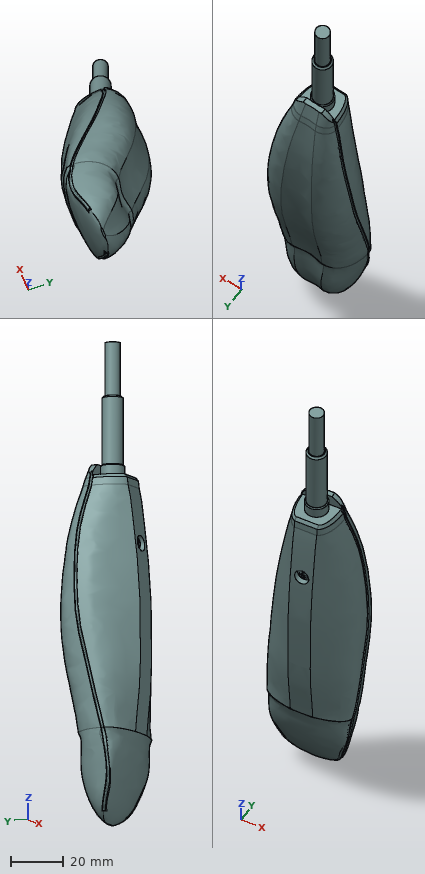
import cadquery as cq
import math

TOTAL_LENGTH = 188.2
CABLE_TOP = 167.3
SLEEVE_TOP = 140.4
LIP_TOP = 140.4
END_FACE = 135.7
COLLAR_EDGE = 134.4
NECK_LINE = 131.4
NOSE_LINE = 34.6

WIRE_RADIUS = 3.0
CABLE_RADIUS = 4.1
SLEEVE_RADIUS = 4.7
CABLE_CHAMFER = 0.8
SLEEVE_CHAMFER = 0.47

MAX_HALF_WIDTH = 19.8
FLAT_HALF_WIDTH = 4.9
HUMP_POSITION = 0.38
SADDLE_DEPTH = 1.1

ROUND = 0.55
FLANK_REACH = 0.55

BODY_STATIONS = [
    (NOSE_LINE, 18.6, -12.2, -4.7, 10.2, 12),
    (48.0, 19.5, -13.5, -1.7, 12.5, 25),
    (62.1, MAX_HALF_WIDTH, -14.3, 1.7, 15.5, 32),
    (77.2, 19.5, -14.3, 5.3, 17.1, 40),
    (93.3, 18.3, -13.7, 7.0, 17.0, 45),
    (107.3, 16.2, -12.5, 7.5, 15.6, 48),
    (121.4, 13.2, -10.7, 6.4, 13.0, 46),
    (NECK_LINE, 10.2, -9.0, 4.7, 10.2, 26),
]
COLLAR_STATION = (COLLAR_EDGE, 9.6, -8.7, 4.5, 9.2, 18)
NECK_STATIONS = [BODY_STATIONS[-1], COLLAR_STATION, (LIP_TOP, 8.3, -7.3, 4.0, 6.8, 18)]

NOSE_STATIONS = [
    (0.0, 2.3, 0.8, 1.1, 1.5),
    (1.0, 5.5, -0.5, 1.0, 2.5),
    (3.8, 9.8, -2.8, -1.0, 4.5),
    (9.5, 13.4, -5.6, -3.4, 7.2),
    (17.0, 15.6, -8.5, -5.6, 9.2),
    (25.2, 17.5, -10.5, -5.8, 9.5),
    BODY_STATIONS[0][:-1],
]

GROOVE_WIDTH = 1.3
GROOVE_DEPTH = 0.5
GROOVE_START = 2.8

COLLAR_BEVEL = 1.1
LIP_FACE_Y = 4.3
LIP_SHOULDER_HALF_WIDTH = 9.5
LIP_CROWN_HALF_WIDTH = 4.3
LIP_MIDDLE_HALF_WIDTH = 7.5

SCREW_Z = 109.0
SCREW_SEAT_Y = -10.0
SCREW_HOLE_RADIUS = 3.0
SCREW_DOME_HEIGHT = 1.5
CROSS_LENGTH = 3.4
CROSS_WIDTH = 1.0
CROSS_DEPTH = 1.1

CUTTER_SIZE = 4 * MAX_HALF_WIDTH


def back_curves(outline, half_width, seam, back):
    """Round the right shoulder, cross the saddle and come down the left shoulder to the seam."""
    hump = HUMP_POSITION * half_width
    saddle = SADDLE_DEPTH * (half_width / MAX_HALF_WIDTH) ** 2
    saddle_pull = saddle * 8 / 3
    lift = ROUND * (back - seam)
    reach = ROUND * (half_width - hump)
    return (
        outline
        .bezier([(half_width, seam + lift), (hump + reach, back), (hump, back)], includeCurrent=True)
        .bezier(
            [(hump / 2, back), (0, back - saddle_pull), (-hump / 2, back), (-hump, back)],
            includeCurrent=True,
        )
        .bezier(
            [(-hump - reach, back), (-half_width, seam + lift), (-half_width, seam)],
            includeCurrent=True,
        )
    )


def body_section(station, inset=0.0):
    """Closed outline with a flat front, flanks that round into upright sides, and a saddled back."""
    z, half_width, front, seam, back, flank_angle = station
    half_width -= inset
    front += inset
    back -= inset
    reach = FLANK_REACH * (half_width - FLAT_HALF_WIDTH)
    rise = reach * math.tan(math.radians(flank_angle))
    flank_control = (FLAT_HALF_WIDTH + reach, front + rise)
    side_control = (half_width, seam - FLANK_REACH * (seam - front))
    outline = (
        cq.Workplane("XY", origin=(0, 0, z))
        .moveTo(-FLAT_HALF_WIDTH, front)
        .lineTo(FLAT_HALF_WIDTH, front)
        .bezier([flank_control, side_control, (half_width, seam)], includeCurrent=True)
    )
    outline = back_curves(outline, half_width, seam, back)
    left_controls = [(-side_control[0], side_control[1]), (-flank_control[0], flank_control[1])]
    outline = outline.bezier([*left_controls, (-FLAT_HALF_WIDTH, front)], includeCurrent=True)
    return outline.close().wire().val()


def nose_section(station, inset=0.0):
    """Closed outline with one round sweep across the front and a saddled back."""
    z, half_width, front, seam, back = station
    half_width -= inset
    front += inset
    back -= inset
    front_pull = seam + (front - seam) * 4 / 3
    outline = (
        cq.Workplane("XY", origin=(0, 0, z))
        .moveTo(-half_width, seam)
        .bezier(
            [(-half_width, front_pull), (half_width, front_pull), (half_width, seam)],
            includeCurrent=True,
        )
    )
    return back_curves(outline, half_width, seam, back).wire().val()


def loft(sections, ruled=False):
    return cq.Workplane(cq.Solid.makeLoft(sections, ruled))


def shell(inset=0.0):
    """The whole body, with every surface moved inwards by the inset."""
    main = loft([body_section(s, inset) for s in BODY_STATIONS])
    neck = loft([body_section(s, inset) for s in NECK_STATIONS], ruled=True)
    nose = loft([nose_section(s, inset) for s in NOSE_STATIONS])
    return main.union(neck).union(nose)


def seam_groove():
    """Band that follows the seam, kept only near the surface."""
    stations = NOSE_STATIONS[:-1] + BODY_STATIONS + NECK_STATIONS[1:]
    path = [(s[3], s[0]) for s in stations if s[0] >= GROOVE_START]
    half = GROOVE_WIDTH / 2
    rear = [(y + half, z) for y, z in path]
    fore = [(y - half, z) for y, z in reversed(path)]
    band = (
        cq.Workplane("YZ")
        .moveTo(*rear[0])
        .spline(rear[1:], includeCurrent=True)
        .lineTo(*fore[0])
        .spline(fore[1:], includeCurrent=True)
        .close()
        .extrude(CUTTER_SIZE / 2, both=True)
    )
    return band.cut(shell(GROOVE_DEPTH))


def front_of_lip(bottom):
    """Space in front of the lip, above the given height."""
    floor = cq.Workplane("XY", origin=(0, LIP_FACE_Y - CUTTER_SIZE / 2, bottom))
    return floor.rect(CUTTER_SIZE, CUTTER_SIZE).extrude(CUTTER_SIZE)


def collar():
    """Bevelled rim between the collar edge and the flat end face."""
    top = (END_FACE, *COLLAR_STATION[1:])
    rim = loft([body_section(COLLAR_STATION), body_section(top, COLLAR_BEVEL)])
    return rim.intersect(front_of_lip(COLLAR_EDGE))


def lip_trim():
    """Space outside the rounded crown of the lip."""
    middle = (END_FACE + LIP_TOP) / 2
    keep = (
        cq.Workplane("XZ")
        .moveTo(-LIP_SHOULDER_HALF_WIDTH, END_FACE)
        .lineTo(LIP_SHOULDER_HALF_WIDTH, END_FACE)
        .threePointArc((LIP_MIDDLE_HALF_WIDTH, middle), (LIP_CROWN_HALF_WIDTH, LIP_TOP))
        .lineTo(-LIP_CROWN_HALF_WIDTH, LIP_TOP)
        .threePointArc((-LIP_MIDDLE_HALF_WIDTH, middle), (-LIP_SHOULDER_HALF_WIDTH, END_FACE))
        .close()
        .extrude(CUTTER_SIZE / 2, both=True)
    )
    block = cq.Workplane("XY", origin=(0, 0, END_FACE)).rect(CUTTER_SIZE, CUTTER_SIZE).extrude(CUTTER_SIZE)
    return block.cut(keep)


def cylinder(radius, bottom, top):
    return cq.Workplane("XY", origin=(0, 0, bottom)).circle(radius).extrude(top - bottom)


def cable():
    sleeve = cylinder(SLEEVE_RADIUS, COLLAR_EDGE, SLEEVE_TOP).faces(">Z").chamfer(SLEEVE_CHAMFER)
    jacket = cylinder(CABLE_RADIUS, END_FACE, CABLE_TOP).faces(">Z").chamfer(CABLE_CHAMFER)
    wire = cylinder(WIRE_RADIUS, END_FACE, TOTAL_LENGTH)
    return sleeve.union(jacket).union(wire)


def screw_hole():
    seat = cq.Workplane("XZ", origin=(0, SCREW_SEAT_Y, SCREW_Z))
    return seat.circle(SCREW_HOLE_RADIUS).extrude(CUTTER_SIZE)


def screw_head():
    """Domed head with a cross recess, seated at the bottom of the hole."""
    crown_y = SCREW_SEAT_Y - SCREW_DOME_HEIGHT
    ball_radius = (SCREW_HOLE_RADIUS ** 2 + SCREW_DOME_HEIGHT ** 2) / (2 * SCREW_DOME_HEIGHT)
    ball = cq.Workplane("XY", origin=(0, crown_y + ball_radius, SCREW_Z)).sphere(ball_radius)
    dome = screw_hole().intersect(ball)
    recess = cq.Workplane("XZ", origin=(0, crown_y + CROSS_DEPTH, SCREW_Z))
    for size in ((CROSS_LENGTH, CROSS_WIDTH), (CROSS_WIDTH, CROSS_LENGTH)):
        dome = dome.cut(recess.rect(*size).extrude(CUTTER_SIZE))
    return dome


body = shell()
body = body.cut(front_of_lip(COLLAR_EDGE)).union(collar())
body = body.cut(lip_trim())
body = body.cut(seam_groove())
body = body.cut(screw_hole()).union(screw_head())
result = body.union(cable())